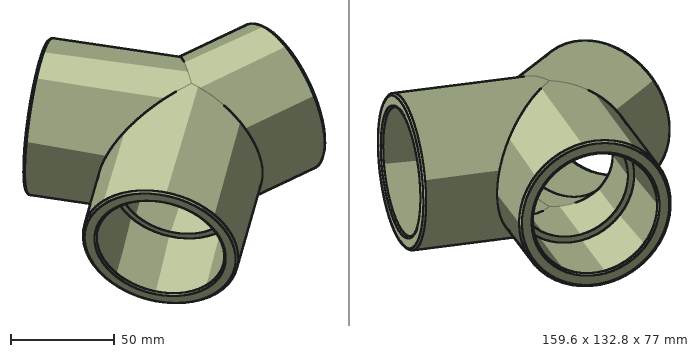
import cadquery as cq
import math

outer_diameter = 77.0
socket_diameter = 63.0
bore_diameter = 56.7
overall_width = 159.6
overall_depth = 132.8
socket_depth = 38.6
rim_chamfer = 1.1
mouth_chamfer = 1.0
branch_angle = 45.0

outer_radius = outer_diameter / 2
slope = math.radians(branch_angle)
half_width = overall_width / 2
slanted_length = half_width / math.cos(slope) - outer_radius + rim_chamfer
straight_length = overall_depth - half_width * math.tan(slope)

branches = [
    (90.0, straight_length),
    (180.0 + branch_angle, slanted_length),
    (-branch_angle, slanted_length),
]


def branch_plane(angle):
    """Plane at the axes' meeting point, facing along a branch."""
    direction = math.radians(angle)
    return cq.Plane(
        origin=(0, 0, 0),
        xDir=(0, 0, 1),
        normal=(math.cos(direction), math.sin(direction), 0),
    )


def branch_body(angle, length):
    """Solid branch with a chamfered outer rim."""
    body = cq.Workplane(branch_plane(angle)).circle(outer_radius).extrude(length)
    end_face = cq.selectors.DirectionMinMaxSelector(branch_plane(angle).zDir)
    return body.faces(end_face).chamfer(rim_chamfer)


def branch_cavity(angle, length):
    """Through bore, wider pipe socket and its conical lead-in."""
    bore_radius = bore_diameter / 2
    socket_radius = socket_diameter / 2
    stop = length - socket_depth
    profile = [
        (0, 0),
        (bore_radius, 0),
        (bore_radius, stop),
        (socket_radius, stop),
        (socket_radius, length - mouth_chamfer),
        (socket_radius + mouth_chamfer, length),
        (0, length),
    ]
    return (
        cq.Workplane("XY")
        .polyline(profile)
        .close()
        .revolve(360, (0, 0, 0), (0, 1, 0))
        .rotate((0, 0, 0), (0, 0, 1), angle - 90)
    )


body = branch_body(*branches[0])
cavity = branch_cavity(*branches[0])
for branch in branches[1:]:
    body = body.union(branch_body(*branch))
    cavity = cavity.union(branch_cavity(*branch))

result = body.cut(cavity)